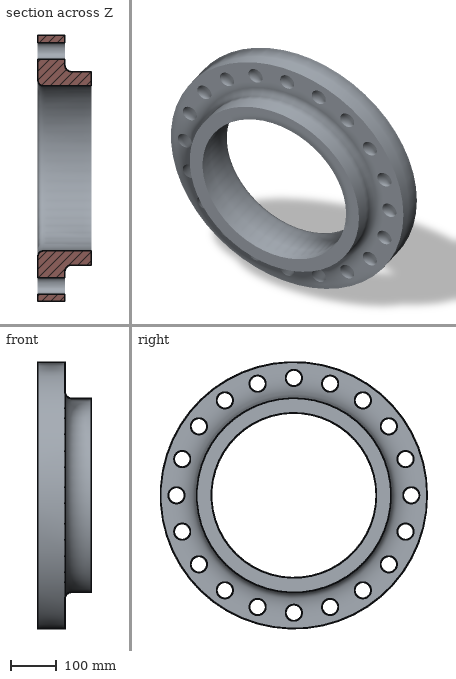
import cadquery as cq

flange_diameter = 584.0
flange_thickness = 60.0
total_length = 117.5

hub_diameter = 425.5
hub_fillet = 13.5
bore_diameter = 360.5
bore_rounding = 13.0

bolt_count = 20
bolt_circle_diameter = 514.0
bolt_hole_diameter = 35.0


def cylinder(diameter, length):
    """Solid cylinder along +X from the flange face."""
    return cq.Workplane("YZ").circle(diameter / 2).extrude(length)


def bolt_holes():
    """Ring of through-hole cutters, with one hole on the Y axis."""
    return (
        cq.Workplane("YZ")
        .polarArray(bolt_circle_diameter / 2, 0, 360, bolt_count)
        .circle(bolt_hole_diameter / 2)
        .extrude(flange_thickness)
    )


body = cylinder(flange_diameter, flange_thickness).union(cylinder(hub_diameter, total_length))
hub_root = cq.selectors.RadiusNthSelector(0)
body = body.faces(">X[-2]").edges(hub_root).fillet(hub_fillet)

body = body.cut(cylinder(bore_diameter, total_length))
body = body.faces("<X").edges(cq.selectors.RadiusNthSelector(0)).fillet(bore_rounding)

result = body.cut(bolt_holes())